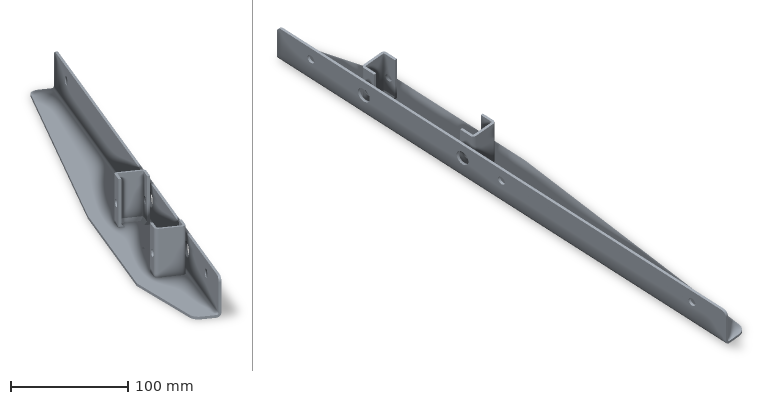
import cadquery as cq

thickness = 2.5
inner_bend_radius = 2.0
outer_bend_radius = inner_bend_radius + thickness

length = 530.0
shelf_depth = 51.0
shelf_end_depth = 24.5
shelf_front_start = 286.0
shelf_front_end = 443.0
shelf_corner_radius = 9.0
wall_height = 37.5
wall_corner_radius = 5.0

wall_hole_diameter = 8.0
wall_hole_height = 25.0
wall_hole_margin = 40.0
wall_hole_count = 3
wall_hole_spacing = (length - 2 * wall_hole_margin) / (wall_hole_count - 1)

total_height = 47.5
channel_height = total_height - thickness
channel_flange = 15.5
channel_width = 28.0
channel_back_gap = 5.0
channel_span = 132.5
channel_center_x = 369.25
channel_inner_radius = 1.0
weld_leg = 3.0
channel_hole_diameter = 7.0
access_hole_diameter = 14.0
channel_hole_height = 22.5
channel_hole_from_web = 8.0

pilot_hole_diameter = 2.0
pilot_hole_x = 368.0
pilot_hole_depth = 24.5


def make_angle_section():
    """Bent L-section running the full length of the part."""
    section = (
        cq.Workplane("YZ")
        .polyline([
            (0, 0),
            (-shelf_depth, 0),
            (-shelf_depth, thickness),
            (-thickness, thickness),
            (-thickness, wall_height),
            (0, wall_height),
        ])
        .close()
        .extrude(length)
    )
    section = section.edges(
        cq.selectors.NearestToPointSelector((length / 2, -thickness, thickness))
    ).fillet(inner_bend_radius)
    return section.edges(
        cq.selectors.NearestToPointSelector((length / 2, 0, 0))
    ).fillet(outer_bend_radius)


def make_shelf_outline():
    """Prism with the tapered plan shape of the shelf."""
    return (
        cq.Workplane("XY")
        .polyline([
            (0, 0),
            (0, -shelf_end_depth),
            (shelf_front_start, -shelf_depth),
            (shelf_front_end, -shelf_depth),
            (length, -shelf_end_depth),
            (length, 0),
        ])
        .close()
        .extrude(wall_height)
        .edges("|Z and (<X or >X) and (not >Y)")
        .fillet(shelf_corner_radius)
    )


def make_wall_outline():
    """Prism with the front shape of the wall, rounded at its top corners."""
    return (
        cq.Workplane("XY")
        .box(length, shelf_depth, wall_height, centered=False)
        .translate((0, -shelf_depth, 0))
        .edges("|Y and >Z")
        .fillet(wall_corner_radius)
    )


def make_wall_holes():
    """Cutters for the row of mounting holes through the wall."""
    centers = [
        (wall_hole_margin + index * wall_hole_spacing, wall_hole_height)
        for index in range(wall_hole_count)
    ]
    return (
        cq.Workplane("XZ")
        .pushPoints(centers)
        .circle(wall_hole_diameter / 2)
        .extrude(thickness)
    )


def make_pilot_hole():
    """Cutter for the small hole through the shelf."""
    return (
        cq.Workplane("XY")
        .center(pilot_hole_x, -pilot_hole_depth)
        .circle(pilot_hole_diameter / 2)
        .extrude(thickness)
    )


def make_channel():
    """Bent C-channel with its web on X = 0, opening toward +X, back at Y = 0."""
    body = (
        cq.Workplane("XY")
        .box(channel_flange, channel_width, channel_height, centered=False)
        .edges("|Z and <X")
        .fillet(channel_inner_radius + thickness)
    )
    hollow = (
        cq.Workplane("XY")
        .box(channel_flange, channel_width - 2 * thickness, channel_height, centered=False)
        .edges("|Z and <X")
        .fillet(channel_inner_radius)
        .translate((thickness, thickness, 0))
    )
    return body.cut(hollow).translate((0, -channel_width, thickness))


def make_weld_bead():
    """Flat-faced bead along the inside foot of a channel, in the channel's own frame."""
    inner_width = channel_width - 2 * thickness
    bead = cq.Workplane("XY").box(
        channel_flange - thickness, inner_width, weld_leg, centered=False
    )
    opening = (
        cq.Workplane("XY")
        .polyline([
            (weld_leg, weld_leg),
            (weld_leg, inner_width - weld_leg),
            (channel_flange, inner_width - weld_leg),
            (channel_flange, weld_leg),
        ])
        .close()
        .workplane(offset=weld_leg)
        .polyline([
            (0, 0),
            (0, inner_width),
            (channel_flange, inner_width),
            (channel_flange, 0),
        ])
        .close()
        .loft(ruled=True)
    )
    return bead.cut(opening).translate((thickness, thickness - channel_width, thickness))


def make_channel_hole():
    """Cutter through both flanges of a channel, in the channel's own frame."""
    return (
        cq.Workplane("XZ", origin=(channel_hole_from_web, 0, channel_hole_height))
        .circle(channel_hole_diameter / 2)
        .extrude(channel_width)
    )


def make_access_hole():
    """Cutter through the wall behind a channel, in line with the channel's holes."""
    return (
        cq.Workplane("XZ", origin=(channel_hole_from_web, channel_back_gap, channel_hole_height))
        .circle(access_hole_diameter / 2)
        .extrude(thickness)
    )


def place_pair(shape):
    """Left copy of a channel shape and its mirror image on the right."""
    left = shape.translate((-channel_span / 2, -channel_back_gap, 0))
    pair = left.union(left.mirror("YZ"))
    return pair.translate((channel_center_x, 0, 0))


angle = make_angle_section().intersect(make_shelf_outline()).intersect(make_wall_outline())
angle = angle.cut(make_wall_holes()).cut(make_pilot_hole()).cut(place_pair(make_access_hole()))
channel = make_channel().union(make_weld_bead()).cut(make_channel_hole())
result = angle.union(place_pair(channel))